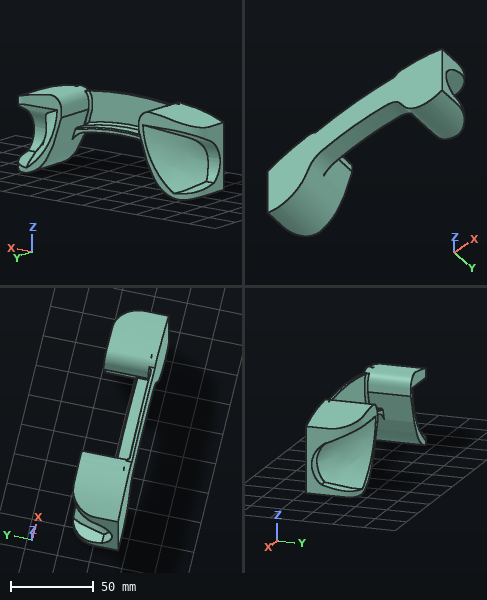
import cadquery as cq
import math

length = 139.9
depth = 31.0
height = 51.5
half_length = length / 2
corner_radius = 16.8

plate_thickness = 2.0
root_chamfer = 1.5
ledge_depth = 11.8
ledge_thickness = 3.1
ledge_edge_chamfer = 0.8
under_crown = (0.0, 28.3)
under_end = (24.5, 26.3)
top_crown = (0.0, height)
dip = (30.8, 49.4)

flank_round_middle = (31.0, 24.2)
flank_top = (35.3, 20.4)
flank_bottom = (39.5, 12.6)
foot = (60.2, 0.0)
outer_bottom = (half_length, 2.0)
outer_top = (half_length, 44.0)
shoulder_middle = (54.3, 49.0)
crown = (39.2, 51.2)
peak = (37.2, height)

slope_top = (35.5, 50.9)
slope_bottom = (32.2, 49.5)
dip_round_middle = (31.5, 49.4)

leg_inner_x = 29.1
inner_round_middle = (31.5, 49.1)
inner_round_end = (leg_inner_x, 43.5)
inner_flat_end = (leg_inner_x, 38.5)

leg_wall = 3.1
nose_back_bottom = (depth, 3.6)
nose_bottom = (14.0, 6.2)
nose_tip = (3.8, 21.8)
nose_lower_middle = (6.0, 12.6)
nose_upper_middle = (6.5, 28.7)
nose_top = (14.0, 35.0)
nose_back_top = (depth, 42.8)
hollow_front_bottom = (66.5, 9.8)
hollow_front_middle = (61.5, 16.8)
hollow_front_top = (63.7, 30.8)
hollow_back_bottom = (56.4, leg_wall)
hollow_back_middle = (39.2, 20.3)
hollow_back_top = (leg_inner_x + leg_wall, 42.8)
hollow_outer_back = (length, 46.2)

overrun = 7.0


def level_arc_radius(point, level_point):
    """Radius of the arc that passes through `point` and is level at `level_point`."""
    across = point[0] - level_point[0]
    up = abs(point[1] - level_point[1])
    return (across**2 + up**2) / (2 * up)


under_radius = level_arc_radius(under_end, under_crown)
top_radius = level_arc_radius(dip, top_crown)
ledge_radius = under_radius + ledge_thickness
ledge_crown = (0.0, under_crown[1] + ledge_thickness)


def ledge_top_point(x):
    """Point on the top of the ledge, which is concentric with the bridge underside."""
    return (x, ledge_crown[1] - ledge_radius + math.sqrt(ledge_radius**2 - x**2))


def leg_outside(sketch):
    """Continue an outline from the bottom of the flank, round the foot, to the crown."""
    return (
        sketch.radiusArc(foot, -level_arc_radius(flank_bottom, foot))
        .radiusArc(outer_bottom, -level_arc_radius(outer_bottom, foot))
        .lineTo(*outer_top)
        .threePointArc(shoulder_middle, crown)
    )


def front_plate():
    """Full outline of the part, thick enough to hold the chamfered root."""
    sketch = (
        cq.Workplane("XZ")
        .moveTo(*under_crown)
        .radiusArc(under_end, under_radius)
        .threePointArc(flank_round_middle, flank_top)
        .lineTo(*flank_bottom)
    )
    sketch = (
        leg_outside(sketch)
        .threePointArc(peak, slope_top)
        .lineTo(*slope_bottom)
        .threePointArc(dip_round_middle, dip)
        .radiusArc(top_crown, -top_radius)
    )
    return sketch.mirrorY().extrude(-plate_thickness - root_chamfer)


def plate_window():
    """Right half of the space behind the plate, narrowing to leave a chamfered root."""
    return (
        cq.Workplane("XZ", origin=(0, plate_thickness + root_chamfer, 0))
        .moveTo(-overrun, ledge_crown[1])
        .lineTo(*ledge_crown)
        .radiusArc(ledge_top_point(leg_inner_x + leg_wall), ledge_radius)
        .lineTo(*inner_flat_end)
        .lineTo(*inner_round_end)
        .threePointArc(inner_round_middle, peak)
        .lineTo(peak[0], height + overrun)
        .lineTo(-overrun, height + overrun)
        .close()
        .extrude(root_chamfer, taper=45)
    )


def bridge_ledge():
    """Band of even thickness along the underside of the bridge, running into both legs."""
    return (
        cq.Workplane("XZ")
        .moveTo(*under_crown)
        .radiusArc(under_end, under_radius)
        .threePointArc(flank_round_middle, flank_top)
        .lineTo(*ledge_top_point(flank_top[0]))
        .radiusArc(ledge_crown, -ledge_radius)
        .mirrorY()
        .extrude(-ledge_depth)
        .faces(">Y")
        .edges(">Z")
        .chamfer(ledge_edge_chamfer)
    )


def right_leg():
    """Leg with a rounded inner top edge and a rounded outer back corner."""
    sketch = leg_outside(cq.Workplane("XZ").moveTo(*flank_bottom))
    blank = (
        sketch.lineTo(*peak)
        .threePointArc(inner_round_middle, inner_round_end)
        .lineTo(*inner_flat_end)
        .lineTo(*flank_top)
        .close()
        .extrude(-depth)
    )
    corner = (
        cq.Workplane("XY", origin=(0, 0, -overrun))
        .moveTo(half_length, depth - corner_radius)
        .radiusArc((half_length - corner_radius, depth), -corner_radius)
        .lineTo(half_length, depth)
        .close()
        .extrude(height + 2 * overrun)
    )
    return blank.cut(corner)


def leg_hollow():
    """Rounded nose seen from the end, kept inside a cavity that widens toward the back."""
    nose = (
        cq.Workplane("YZ")
        .moveTo(*nose_back_bottom)
        .lineTo(*nose_bottom)
        .threePointArc(nose_lower_middle, nose_tip)
        .threePointArc(nose_upper_middle, nose_top)
        .lineTo(*nose_back_top)
        .close()
        .extrude(half_length)
    )
    front_y = nose_tip[0]
    cavity = (
        cq.Workplane("XZ", origin=(0, front_y, 0))
        .moveTo(length, hollow_front_bottom[1])
        .lineTo(*hollow_front_bottom)
        .threePointArc(hollow_front_middle, hollow_front_top)
        .lineTo(length, hollow_front_top[1])
        .close()
        .workplane(offset=front_y - depth)
        .moveTo(length, leg_wall)
        .lineTo(*hollow_back_bottom)
        .threePointArc(hollow_back_middle, hollow_back_top)
        .lineTo(*hollow_outer_back)
        .close()
        .loft(ruled=True)
    )
    return nose.intersect(cavity)


window = plate_window()
leg = right_leg()
hollow = leg_hollow()

result = front_plate().cut(window).cut(window.mirror("YZ")).union(bridge_ledge())
for leg_side in (leg, leg.mirror("YZ")):
    result = result.union(leg_side)
for hollow_side in (hollow, hollow.mirror("YZ")):
    result = result.cut(hollow_side)